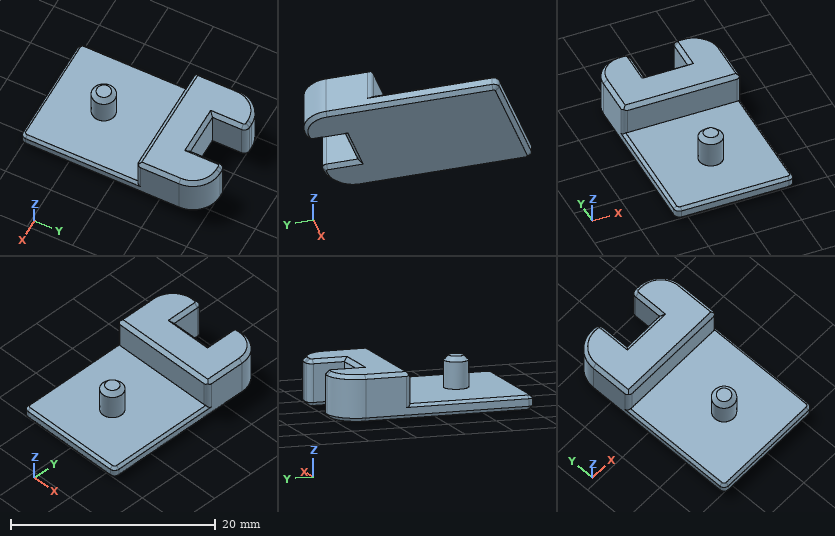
import cadquery as cq

WIDTH = 12.7
LENGTH = 20.5
HEIGHT = 4.7

PLATE_THICKNESS = 1.48
BLOCK_LENGTH = 7.7
BACK_RADIUS = 3.0
PLATE_FRONT_RADIUS = 0.6
BLOCK_FRONT_RADIUS = 0.5

NOTCH_WIDTH = 4.67
NOTCH_DEPTH = 3.8
NOTCH_MOUTH_RADIUS = 0.6

EDGE_CHAMFER = 0.4
PLATE_TOP_CHAMFER = 0.3

PIN_DIAMETER = 2.5
PIN_TO_FRONT = 5.92
PIN_CHAMFER = 0.5

BACK_Y = LENGTH / 2
FRONT_Y = -BACK_Y
STEP_Y = BACK_Y - BLOCK_LENGTH


def notched_prism(front_y, front_radius, bottom_z, top_z):
    """Prism reaching from front_y to the back, with the notch and rounded corners.

    A front_radius of 0 leaves the front corners sharp.
    """
    half_width = WIDTH / 2
    half_notch = NOTCH_WIDTH / 2
    notch_y = BACK_Y - NOTCH_DEPTH
    outline = [
        (-half_width, front_y),
        (half_width, front_y),
        (half_width, BACK_Y),
        (half_notch, BACK_Y),
        (half_notch, notch_y),
        (-half_notch, notch_y),
        (-half_notch, BACK_Y),
        (-half_width, BACK_Y),
    ]
    prism = cq.Workplane("XY").workplane(offset=bottom_z).polyline(outline).close().extrude(top_z - bottom_z)
    corner_rounds = [
        (half_width, BACK_Y, BACK_RADIUS),
        (half_notch, BACK_Y, NOTCH_MOUTH_RADIUS),
    ]
    if front_radius > 0:
        corner_rounds.append((half_width, front_y, front_radius))
    middle_z = (bottom_z + top_z) / 2
    for x, y, radius in corner_rounds:
        for side in (-1, 1):
            corner = cq.selectors.NearestToPointSelector((side * x, y, middle_z))
            prism = prism.edges("|Z").edges(corner).fillet(radius)
    return prism


plate = notched_prism(FRONT_Y, PLATE_FRONT_RADIUS, 0, PLATE_THICKNESS)
plate = plate.faces("<Z").edges().chamfer(EDGE_CHAMFER)
plate = plate.faces(">Z").edges().chamfer(PLATE_TOP_CHAMFER)

mitred_block = notched_prism(STEP_Y, 0, EDGE_CHAMFER, HEIGHT).faces(">Z").edges().chamfer(EDGE_CHAMFER)
rounded_block = notched_prism(STEP_Y, BLOCK_FRONT_RADIUS, EDGE_CHAMFER, HEIGHT)
block = mitred_block.intersect(rounded_block)

pin_root_z = PLATE_THICKNESS / 2
pin = (
    cq.Workplane("XY", origin=(0, FRONT_Y + PIN_TO_FRONT, pin_root_z))
    .circle(PIN_DIAMETER / 2)
    .extrude(HEIGHT - pin_root_z)
    .faces(">Z")
    .chamfer(PIN_CHAMFER)
)

result = plate.union(block).union(pin)